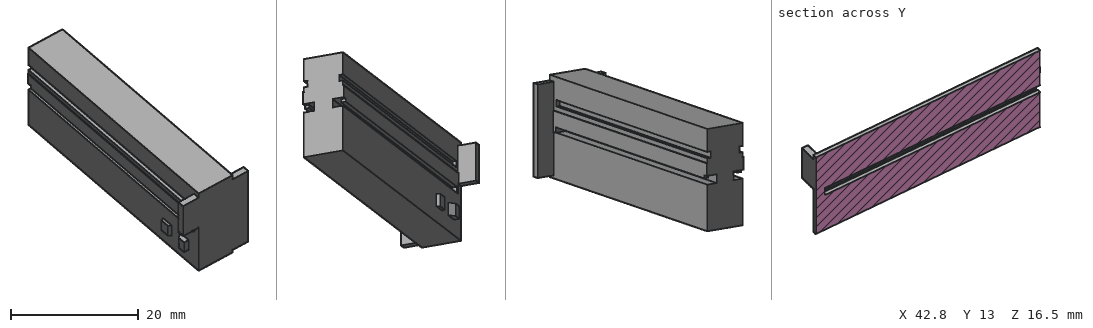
import cadquery as cq

length = 42.75
height = 16.5
body_width = 6.8
half_width = body_width / 2

overall_width = 13.0
flange_thickness = 1.15
flange_start = length - flange_thickness
flange_reach = (overall_width - body_width) / 2
flange_top = height - 0.9
short_flange_height = 6.4
short_flange_bottom = flange_top - short_flange_height
long_flange_bottom = 0.5

rail_projection = 0.13
rail_top = height - 5.5
rail_bottom = height - 8.98

slot_end = length - 1.8
upper_slot_top = height - 3.7
upper_slot_bottom = height - 4.75
upper_slot_depth = 0.65
undercut_top = height - 7.55
undercut_depth = 1.8
lip_bottom = height - 8.1
lip_thickness = 0.65
lip_setback = 0.7

catch_top = height - 11.75
catch_height = 2.1
low_catch_start = 33.8
low_catch_projection = 0.5
low_catch_front_ramp = 0.25
low_catch_back_ramp = 0.4
high_catch_start = 38.0
high_catch_projection = 0.9
high_catch_ramp = 0.9
catch_length = 2.22


def box(x_range, y_range, z_range):
    """Box spanning the given (low, high) ranges."""
    corner = (x_range[0], y_range[0], z_range[0])
    sizes = [high - low for low, high in (x_range, y_range, z_range)]
    return cq.Workplane("XY").box(*sizes, centered=False).translate(corner)


def side_box(side, x_range, inward, outward, z_range):
    """Box at a side face (side = -1 or +1), from inward depth to outward reach."""
    y_range = sorted((side * (half_width - inward), side * (half_width + outward)))
    return box(x_range, y_range, z_range)


def flange(side, bottom):
    return side_box(side, (flange_start, length), 0, flange_reach, (bottom, flange_top))


def add_rail(body, side):
    rail = side_box(side, (0, flange_start), 0, rail_projection, (rail_bottom, rail_top))
    return body.union(rail)


def cut_slots(body, side):
    upper_slot = side_box(
        side, (0, slot_end), upper_slot_depth, rail_projection, (upper_slot_bottom, upper_slot_top)
    )
    undercut = side_box(
        side, (0, slot_end), undercut_depth, rail_projection, (rail_bottom, undercut_top)
    )
    lip = side_box(
        side, (lip_setback, slot_end), lip_thickness, rail_projection, (lip_bottom, undercut_top)
    )
    return body.cut(upper_slot).cut(undercut.cut(lip))


def catch(start, projection, front_ramp, back_ramp):
    """Catch whose end faces slope inward by the given ramps."""
    end = start + catch_length
    outline = [
        (start, -half_width),
        (start + front_ramp, -half_width - projection),
        (end - back_ramp, -half_width - projection),
        (end, -half_width),
    ]
    base = cq.Workplane("XY").workplane(offset=catch_top - catch_height)
    return base.polyline(outline).close().extrude(catch_height)


def rail_end_bevel():
    """Wedge removed from the -Y rail end where it passes below the short flange."""
    outer_y = -half_width - rail_projection
    outline = [
        (flange_start - rail_projection, outer_y),
        (flange_start, outer_y),
        (flange_start, -half_width),
    ]
    base = cq.Workplane("XY").workplane(offset=rail_bottom)
    return base.polyline(outline).close().extrude(short_flange_bottom - rail_bottom)


result = box((0, length), (-half_width, half_width), (0, height))
for side in (-1, 1):
    result = add_rail(result, side)
    result = cut_slots(result, side)

result = result.cut(rail_end_bevel())
result = result.union(flange(-1, short_flange_bottom))
result = result.union(flange(1, long_flange_bottom))
low_catch = catch(low_catch_start, low_catch_projection, low_catch_front_ramp, low_catch_back_ramp)
result = result.union(low_catch)
result = result.union(catch(high_catch_start, high_catch_projection, high_catch_ramp, 0))